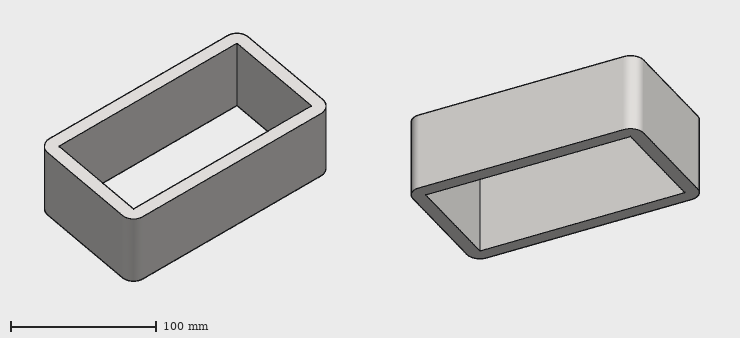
import cadquery as cq

width = 100.5
length = 179.5
height = 60.0

wall = 10.0

frame = cq.Workplane("XY").box(width, length, height).edges("|Z").fillet(wall)
opening = cq.Workplane("XY").box(width - 2 * wall, length - 2 * wall, height)

result = frame.cut(opening)